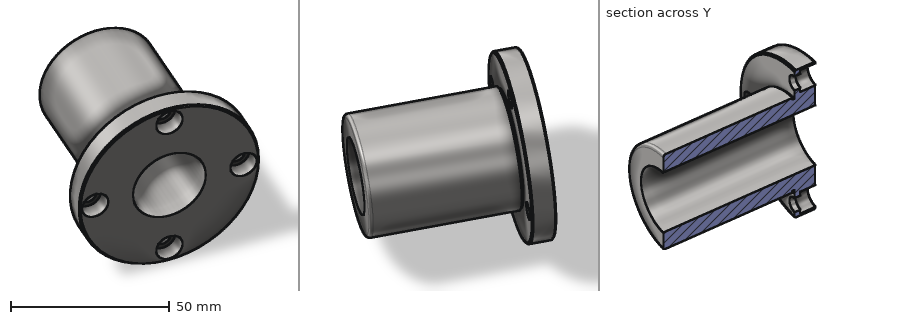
import cadquery as cq

flange_diameter = 62.0
flange_thickness = 8.0
flange_chamfer = 0.5

total_length = 58.0
barrel_diameter = 40.0
barrel_end_radius = 1.1
bore_diameter = 25.0

groove_width = 0.75
groove_depth = 0.75

hole_count = 4
hole_diameter = 5.75
counterbore_diameter = 9.0
counterbore_depth = 5.7
bolt_circle_diameter = 51.0

flange_start = total_length - flange_thickness
groove_start = flange_start - groove_width
flange_radius = flange_diameter / 2
barrel_radius = barrel_diameter / 2
groove_radius = barrel_radius - groove_depth


def turned_body():
    """Revolve the half section of the barrel, groove and flange about X."""
    return (
        cq.Workplane("XY")
        .lineTo(0, barrel_radius - barrel_end_radius)
        .radiusArc((barrel_end_radius, barrel_radius), barrel_end_radius)
        .lineTo(groove_start, barrel_radius)
        .lineTo(groove_start, groove_radius)
        .lineTo(flange_start, groove_radius)
        .lineTo(flange_start, flange_radius - flange_chamfer)
        .lineTo(flange_start + flange_chamfer, flange_radius)
        .lineTo(total_length - flange_chamfer, flange_radius)
        .lineTo(total_length, flange_radius - flange_chamfer)
        .lineTo(total_length, 0)
        .close()
        .revolve(360, (0, 0, 0), (1, 0, 0))
    )


def bore():
    """Through bore along the axis."""
    return cq.Workplane("YZ").circle(bore_diameter / 2).extrude(total_length)


def hole_ring(diameter, start, depth):
    """Cylinders along +X, spaced evenly around the bolt circle."""
    return (
        cq.Workplane("YZ")
        .workplane(offset=start)
        .polarArray(bolt_circle_diameter / 2, 0, 360, hole_count)
        .circle(diameter / 2)
        .extrude(depth)
    )


screw_holes = hole_ring(hole_diameter, flange_start, flange_thickness)
counterbores = hole_ring(counterbore_diameter, total_length - counterbore_depth, counterbore_depth)

result = turned_body().cut(bore()).cut(screw_holes).cut(counterbores)